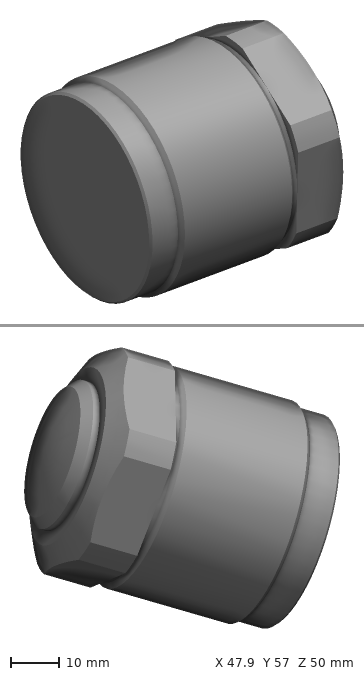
import cadquery as cq
import math

overall_length = 57.0
end_chamfer = 0.5
step_start = 7.0
shoulder_chamfer = 1.0
neck_start = 36.5
nut_start = 37.5
nut_end = 51.5
button_edge = 53.0
dome_start = 55.0

end_radius = 22.95
barrel_radius = end_radius + shoulder_chamfer
nut_corner_radius = 25.0
nut_across_flats = 46.0
nut_turn = 2.1
nut_cone_angle = 30.0
nut_cone_height = 3.4
button_radius = 16.0
dome_radius = button_radius - (dome_start - button_edge)

front_y = -overall_length / 2


def revolve_about_y(profile):
    """Revolve a (radius, station) profile and move it onto the part."""
    return profile.close().revolve(360, (0, 0, 0), (0, 1, 0)).translate((0, front_y, 0))


def make_housing():
    """Round barrel with a stepped front end and a neck that meets the nut."""
    return revolve_about_y(
        cq.Workplane("XY")
        .moveTo(0, 0)
        .lineTo(end_radius - end_chamfer, 0)
        .lineTo(end_radius, end_chamfer)
        .lineTo(end_radius, step_start)
        .lineTo(barrel_radius, step_start + shoulder_chamfer)
        .lineTo(barrel_radius, neck_start - shoulder_chamfer)
        .lineTo(end_radius, neck_start)
        .lineTo(end_radius, nut_start)
        .lineTo(0, nut_start)
    )


def make_hex_prism():
    """Hexagon with corners near +Z and -Z, turned slightly about Y."""
    corner_diameter = nut_across_flats / math.cos(math.radians(30))
    corner_angle = 90
    return (
        cq.Workplane("XZ")
        .polygon(6, corner_diameter)
        .extrude(-(nut_end - nut_start))
        .rotate((0, 0, 0), (0, 1, 0), corner_angle + nut_turn)
        .translate((0, front_y + nut_start, 0))
    )


def make_nut_envelope():
    """Round blank that trims the hexagon corners and cones the rear edge."""
    cone_end_radius = nut_corner_radius - nut_cone_height / math.tan(math.radians(nut_cone_angle))
    return revolve_about_y(
        cq.Workplane("XY")
        .moveTo(0, nut_start)
        .lineTo(nut_corner_radius, nut_start)
        .lineTo(nut_corner_radius, nut_end - nut_cone_height)
        .lineTo(cone_end_radius, nut_end)
        .lineTo(0, nut_end)
    )


def make_button():
    """Chamfered button with a shallow spherical dome."""
    dome_height = overall_length - dome_start
    sphere_radius = (dome_radius**2 + dome_height**2) / (2 * dome_height)
    mid_radius = dome_radius / 2
    mid_station = overall_length - sphere_radius + math.sqrt(sphere_radius**2 - mid_radius**2)
    return revolve_about_y(
        cq.Workplane("XY")
        .moveTo(0, nut_end)
        .lineTo(button_radius, nut_end)
        .lineTo(button_radius, button_edge)
        .lineTo(dome_radius, dome_start)
        .threePointArc((mid_radius, mid_station), (0, overall_length))
    )


def make_cap_nut():
    """Hexagonal cap nut with its domed button."""
    return make_hex_prism().intersect(make_nut_envelope()).union(make_button())


housing = make_housing()
cap_nut = make_cap_nut()

result = cq.Compound.makeCompound([housing.val(), *cap_nut.solids().vals()])